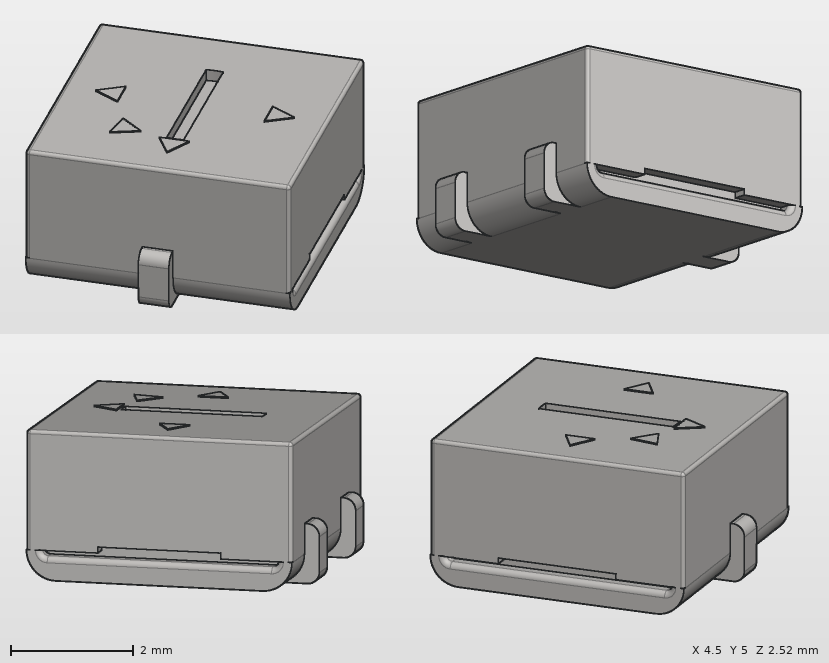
import cadquery as cq
import math

body_side = 4.5
lead_span = 5.0
base_height = 0.5
cover_top = 2.5

cover_edge_radius = 0.06
window_width = 2.08
window_bottom = 0.6

base_corner_radius = base_height
ledge_z = 0.4
ledge_depth = 0.25
ledge_width = 4.0
ledge_corner_radius = base_height - ledge_z
ledge_rim_radius = 0.1
tangent_margin = 0.0005

lead_width = 0.52
lead_height = 1.0
lead_bend_radius = 0.2
lead_pitch = 2.35
lead_places = [(0, -1), (-lead_pitch / 2, 1), (lead_pitch / 2, 1)]

rotor_radius = 1.2
slot_width = 0.29
slot_depth = 0.2
arrow_side = 0.51
arrow_gap = 0.05
arrow_height = 0.02
arrow_angles = [0, 180, 230, 270]

half_body = body_side / 2


def make_rounded_bar(length, width, bottom, radius):
    """Bar along X from bottom up to the base top, with both lower edges rounded."""
    return (
        cq.Workplane("XY")
        .workplane(offset=bottom)
        .box(length, width, base_height - bottom, centered=(True, True, False))
        .edges("|X")
        .edges("<Z")
        .fillet(radius)
    )


def make_base():
    """Tray with two rounded bottom edges and a ledge with a rounded rim on each X side."""
    base = make_rounded_bar(body_side, body_side, 0, base_corner_radius - tangent_margin)
    recess = make_rounded_bar(ledge_depth, ledge_width, ledge_z, ledge_corner_radius - tangent_margin)
    for side in (-1, 1):
        base = base.cut(recess.translate((side * (half_body - ledge_depth / 2), 0, 0)))
        rim_middle = (side * half_body, 0, ledge_z)
        rim = cq.selectors.NearestToPointSelector(rim_middle)
        base = base.edges(rim).fillet(ledge_rim_radius)
    return base


def make_cover():
    """Block with rounded edges and a raised window along the bottom of each X side."""
    cover = (
        cq.Workplane("XY")
        .workplane(offset=base_height)
        .box(body_side, body_side, cover_top - base_height, centered=(True, True, False))
        .edges("|Z or >Z")
        .fillet(cover_edge_radius)
    )
    window_height = window_bottom - base_height
    window = (
        cq.Workplane("XY")
        .workplane(offset=base_height)
        .box(ledge_depth, window_width, window_height, centered=(True, True, False))
    )
    for side in (-1, 1):
        cover = cover.cut(window.translate((side * (half_body - ledge_depth / 2), 0, 0)))
    return cover


def make_lead(x, side):
    """Foot reaching out past the body on the +Y (side = 1) or -Y (side = -1) face."""
    length = lead_span / 2 - half_body + base_corner_radius
    outer_face = ">Y" if side > 0 else "<Y"
    return (
        cq.Workplane("XY")
        .box(lead_width, length, lead_height, centered=(True, True, False))
        .translate((x, side * (lead_span - length) / 2, 0))
        .faces(outer_face)
        .edges("|X")
        .fillet(lead_bend_radius)
    )


def make_slot():
    """Screwdriver slot whose ends follow the round rotor."""
    plane = cq.Workplane("XY").workplane(offset=cover_top - slot_depth)
    rotor = plane.circle(rotor_radius).extrude(slot_depth)
    return plane.rect(slot_width, 2 * rotor_radius).extrude(slot_depth).intersect(rotor)


def make_arrow(angle):
    """Raised equilateral triangle pointing away from the rotor."""
    inner = rotor_radius + arrow_gap
    tip = inner + arrow_side * math.sqrt(3) / 2
    return (
        cq.Workplane("XY")
        .workplane(offset=cover_top)
        .polyline([(inner, -arrow_side / 2), (tip, 0), (inner, arrow_side / 2)])
        .close()
        .extrude(arrow_height)
        .rotate((0, 0, 0), (0, 0, 1), angle)
    )


result = make_base().union(make_cover())
for x, side in lead_places:
    result = result.union(make_lead(x, side))
result = result.cut(make_slot())
for angle in arrow_angles:
    result = result.union(make_arrow(angle))